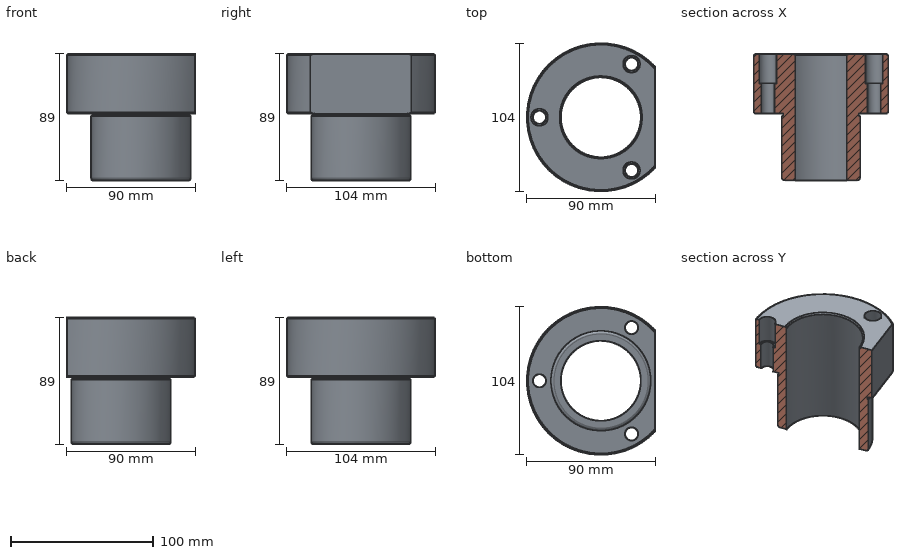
import cadquery as cq
import math

height = 89.0
flange_radius = 52.0
flat_x = 38.0
flange_height = 42.0
edge_chamfer = 1.0

spigot_radius = 35.0
groove_radius = 34.3
groove_height = 1.9
groove_taper = spigot_radius - groove_radius
spigot_fillet = 2.0

bore_radius = 28.0
bolt_circle_radius = 43.0
bolt_count = 3
first_bolt_angle = 60.0
bolt_diameter = 9.0
counterbore_diameter = 12.0
counterbore_depth = 20.8

shoulder_z = height - flange_height


def make_flange():
    """Chamfered disc with one side cut flat."""
    disc = (
        cq.Workplane("XY", origin=(0, 0, shoulder_z))
        .circle(flange_radius)
        .extrude(flange_height)
        .faces("<Z or >Z")
        .chamfer(edge_chamfer)
    )
    kept_side = cq.Workplane("XY", origin=(-flange_radius, 0, 0)).box(
        flange_radius + flat_x, 2 * flange_radius, height, centered=(False, True, False)
    )
    return disc.intersect(kept_side)


def make_spigot():
    """Turned spigot with a rounded bottom edge and a relief groove at the top."""
    groove_z = shoulder_z - groove_height
    profile = [
        (0, 0),
        (spigot_radius, 0),
        (spigot_radius, groove_z),
        (groove_radius, groove_z + groove_taper),
        (groove_radius, shoulder_z),
        (0, shoulder_z),
    ]
    spigot = cq.Workplane("XZ").polyline(profile).close().revolve(360, (0, 0, 0), (0, 1, 0))
    return spigot.faces("<Z").edges().fillet(spigot_fillet)


def make_bore():
    """Through bore, chamfered at the top rim."""
    rim_radius = bore_radius + edge_chamfer
    profile = [
        (0, 0),
        (bore_radius, 0),
        (bore_radius, height - edge_chamfer),
        (rim_radius, height),
        (0, height),
    ]
    return cq.Workplane("XZ").polyline(profile).close().revolve(360, (0, 0, 0), (0, 1, 0))


def bolt_position(index):
    """X and Y of one bolt hole on the bolt circle."""
    angle = math.radians(first_bolt_angle + index * 360 / bolt_count)
    return bolt_circle_radius * math.cos(angle), bolt_circle_radius * math.sin(angle)


bolt_positions = [bolt_position(i) for i in range(bolt_count)]

result = (
    make_flange()
    .union(make_spigot())
    .cut(make_bore())
    .faces(">Z")
    .workplane(origin=(0, 0, height))
    .pushPoints(bolt_positions)
    .cboreHole(bolt_diameter, counterbore_diameter, counterbore_depth)
)